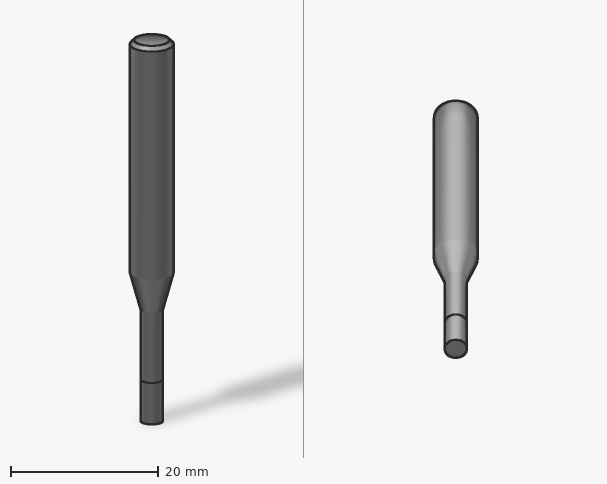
import cadquery as cq

total_length = 55.0
shank_diameter = 6.0
neck_diameter = 3.0

cutter_length = 6.0
neck_length = 10.0
taper_length = 5.45

bevel_size = 0.6

shank_radius = shank_diameter / 2
neck_radius = neck_diameter / 2
taper_bottom = cutter_length + neck_length
taper_top = taper_bottom + taper_length


def make_cutter():
    """Plain cylindrical cutting end below the neck."""
    return cq.Workplane("XY").circle(neck_radius).extrude(cutter_length)


def make_shank():
    """Neck, taper and bevelled shank, revolved about Z from a half profile."""
    return (
        cq.Workplane("XZ")
        .moveTo(0, cutter_length)
        .lineTo(neck_radius, cutter_length)
        .lineTo(neck_radius, taper_bottom)
        .lineTo(shank_radius, taper_top)
        .lineTo(shank_radius, total_length - bevel_size)
        .lineTo(shank_radius - bevel_size, total_length)
        .lineTo(0, total_length)
        .close()
        .revolve(360, (0, 0, 0), (0, 1, 0))
    )


cutter = make_cutter()
shank = make_shank()

result = cq.Compound.makeCompound([cutter.val(), shank.val()])